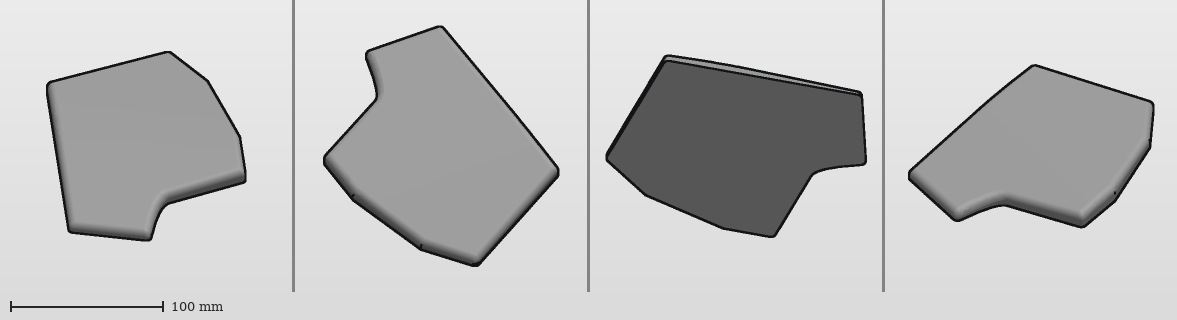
import cadquery as cq
import math

height = 11.6
depth = 133.1
corner_radius = 3.5
rim_radius = 5.0

left_front_y = 33.5
front_slope = math.tan(math.radians(15))
back_right_slope = front_slope
back_left_slope = math.tan(math.radians(20))
back_left_x = 36.2
back_right_x = 93.3
right_x = 126.0
tip_x = 126.9
arm_end_length = 54.2
arm_angle = math.radians(60)
neck_y = 70.7

crest_offset = 19.8
crest_half_width = 16.0
slope_angle = math.radians(3)
bend_angle = 60
reach = 183.2
upward = 0.9

tip = (tip_x, left_front_y - front_slope * tip_x)
arm_corner = (
    tip[0] + arm_end_length * math.cos(arm_angle),
    tip[1] + arm_end_length * math.sin(arm_angle),
)
left_front = (0, left_front_y)
left_back = (0, depth - back_left_slope * back_left_x)
right_back = (right_x, depth - back_right_slope * (right_x - back_right_x))
neck_bend = (right_x, arm_corner[1] + (arm_corner[0] - right_x) / math.tan(arm_angle))


def make_plate():
    """Flat plate with the full outline and sharp corners."""
    return (
        cq.Workplane("XY")
        .moveTo(*left_front)
        .lineTo(*tip)
        .lineTo(*arm_corner)
        .bezier([neck_bend, (right_x, neck_y)], includeCurrent=True)
        .lineTo(*right_back)
        .lineTo(back_right_x, depth)
        .lineTo(back_left_x, depth)
        .lineTo(*left_back)
        .close()
        .extrude(height)
    )


def make_bend():
    """Solid under the bent top, long enough to cover the plate."""
    crest_radius = crest_half_width / math.sin(slope_angle)
    fold_z = height - crest_radius * (1 - math.cos(slope_angle))
    end_z = fold_z - (reach - crest_half_width) * math.tan(slope_angle)
    base_z = -height
    return (
        cq.Workplane("XZ")
        .moveTo(-reach, base_z)
        .lineTo(-reach, end_z)
        .lineTo(-crest_half_width, fold_z)
        .threePointArc((0, height), (crest_half_width, fold_z))
        .lineTo(reach, end_z)
        .lineTo(reach, base_z)
        .close()
        .extrude(reach, both=True)
        .translate((crest_offset, 0, 0))
        .rotate((0, 0, 0), (0, 0, 1), bend_angle - 90)
    )


def round_rim(body):
    """Round the boundary of the bent top, leaving the folds within it alone."""
    top_faces = [face for face in body.faces().vals() if face.normalAt().z > upward]
    top_edges = [edge for face in top_faces for edge in face.Edges()]
    rim = [edge for edge in top_edges if sum(edge.isSame(other) for other in top_edges) == 1]
    return body.newObject(rim).fillet(rim_radius)


def round_corners(body):
    """Round the upright edges at the convex corners."""
    corner_edges = []
    for x, y in (left_front, tip, arm_corner, right_back, left_back):
        nearest = cq.selectors.NearestToPointSelector((x, y, 0))
        corner_edges += body.edges("|Z").edges(nearest).vals()
    return body.newObject(corner_edges).fillet(corner_radius)


result = round_corners(round_rim(make_plate().intersect(make_bend())))